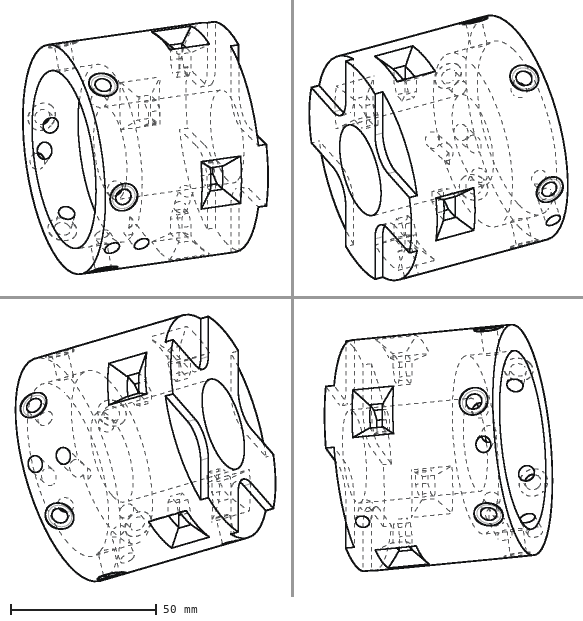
import cadquery as cq
import math

outer_radius = 40
length = 60.1
counterbore_radius = 31.0
counterbore_depth = 17.0
bore_radius = 16.2
cut_clearance = 0.8

tab_count = 4
tab_height = 3.0
tab_half_width = 11.4
tab_root_radius = 10.0

window_count = 4
window_center_y = length - 17.1
window_mouth_width = 17.6
window_mouth_length = 14.6
window_throat_width = 8.6
window_throat_length = 4.4
window_throat_radius = 35.0
window_well_radius = 29.6
window_floor_width = 4.3
window_floor_radius = 25.6

screw_count = 6
screw_y = 6.9
screw_hole_diameter = 5.6
spotface_diameter = 10.1
spotface_floor_diameter = 8.3
spotface_depth = 0.4
spotface_edge_depth = 0.2

side_hole_diameter = 5.3
entry_hole_y = 4.2
entry_hole_angle = 202.4
entry_hole_direction = 42.4
entry_hole_depth = 16
paired_hole_start = (18.5, -18.8)
paired_hole_direction = -7
paired_hole_length = 32
front_hole_y = 4.7
step_hole_y = counterbore_depth - 1.4

pin_hole_diameter = 4.8
pin_hole_y = length - 8.8
pin_hole_angle = 236.7
pin_hole_depth = 9.6


def polar(radius, angle):
    """XZ point at a radius and an angle from +X towards +Z."""
    radians = math.radians(angle)
    return radius * math.cos(radians), radius * math.sin(radians)


def turned(shape, angle):
    """Shape turned about the collar axis from +X towards +Z."""
    return shape.rotate((0, 0, 0), (0, 1, 0), -angle)


def collar_cylinder(radius, depth):
    """Cylinder on the collar axis, reaching from Y = 0 to Y = depth."""
    return cq.Workplane("XZ").circle(radius).extrude(-depth)


def drill(diameter, start, y, direction, depth):
    """Cylinder square to Y that starts at an XZ point and runs along an XZ angle."""
    direction_x, direction_z = polar(1, direction)
    origin = cq.Vector(start[0], y, start[1])
    axis = cq.Vector(direction_x, 0, direction_z)
    return cq.Workplane(cq.Solid.makeCylinder(diameter / 2, depth, origin, axis))


def tab_recess():
    """Rear recess in the +X +Z quarter, rounded at its inner corner."""
    corner = (tab_half_width, length - tab_height, tab_half_width)
    block = cq.Workplane("XY").box(outer_radius, tab_height, outer_radius, centered=False)
    return block.translate(corner).edges("|Y and <X and <Z").fillet(tab_root_radius)


def window():
    """Window on +X: a mouth with its front and rear walls turned about Y, above a narrowing well."""
    mouth_edge_x = math.sqrt(outer_radius**2 - (window_mouth_width / 2) ** 2)
    across = [
        (outer_radius + cut_clearance, window_mouth_width / 2),
        (mouth_edge_x, window_mouth_width / 2),
        (window_throat_radius, window_throat_width / 2),
        (window_well_radius, window_throat_width / 2),
        (window_floor_radius, window_floor_width / 2),
    ]
    other_half = [(x, -z) for x, z in reversed(across)]
    wedge = (
        cq.Workplane("XZ", origin=(0, window_center_y, 0))
        .polyline(across + other_half)
        .close()
        .extrude(window_mouth_length, both=True)
    )
    along = [
        (outer_radius + cut_clearance, window_mouth_length / 2),
        (outer_radius, window_mouth_length / 2),
        (window_throat_radius, window_throat_length / 2),
        (bore_radius, window_throat_length / 2),
    ]
    other_half = [(x, -y) for x, y in reversed(along)]
    ring = (
        cq.Workplane("XY", origin=(0, window_center_y, 0))
        .polyline(along + other_half)
        .close()
        .revolve(360, (0, 0, 0), (0, 1, 0))
    )
    return wedge.intersect(ring)


def screw_hole():
    """Radial hole on +X whose spotface has a sloped edge around its floor."""
    top_x = outer_radius + cut_clearance
    edge_x = outer_radius - spotface_depth
    floor_x = edge_x - spotface_edge_depth
    bottom_x = counterbore_radius - screw_hole_diameter / 2
    half_section = [
        (top_x, 0),
        (top_x, spotface_diameter / 2),
        (edge_x, spotface_diameter / 2),
        (floor_x, spotface_floor_diameter / 2),
        (floor_x, screw_hole_diameter / 2),
        (bottom_x, screw_hole_diameter / 2),
        (bottom_x, 0),
    ]
    return (
        cq.Workplane("XY", origin=(0, screw_y, 0))
        .polyline(half_section)
        .close()
        .revolve(360, (0, 0, 0), (1, 0, 0))
    )


def entry_hole():
    """Skewed hole that enters on the -X side and breaks into the counterbore."""
    entry_x, entry_z = polar(outer_radius, entry_hole_angle)
    back_x, back_z = polar(side_hole_diameter, entry_hole_direction)
    start = (entry_x - back_x, entry_z - back_z)
    return drill(
        side_hole_diameter, start, entry_hole_y, entry_hole_direction, entry_hole_depth + side_hole_diameter
    )


def paired_hole(y):
    """Skewed hole from inside the collar out through the +X side."""
    return drill(side_hole_diameter, paired_hole_start, y, paired_hole_direction, paired_hole_length)


def pin_hole():
    """Blind radial hole, cut from its bottom outwards."""
    bottom = polar(outer_radius - pin_hole_depth, pin_hole_angle)
    return drill(pin_hole_diameter, bottom, pin_hole_y, pin_hole_angle, pin_hole_depth + cut_clearance)


result = collar_cylinder(outer_radius, length)
result = result.cut(collar_cylinder(counterbore_radius, counterbore_depth))
result = result.cut(collar_cylinder(bore_radius, length))

for feature, count in ((tab_recess(), tab_count), (window(), window_count), (screw_hole(), screw_count)):
    for index in range(count):
        result = result.cut(turned(feature, 360 / count * index))

result = result.cut(entry_hole())
for hole_y in (front_hole_y, step_hole_y):
    result = result.cut(paired_hole(hole_y))
result = result.cut(pin_hole())